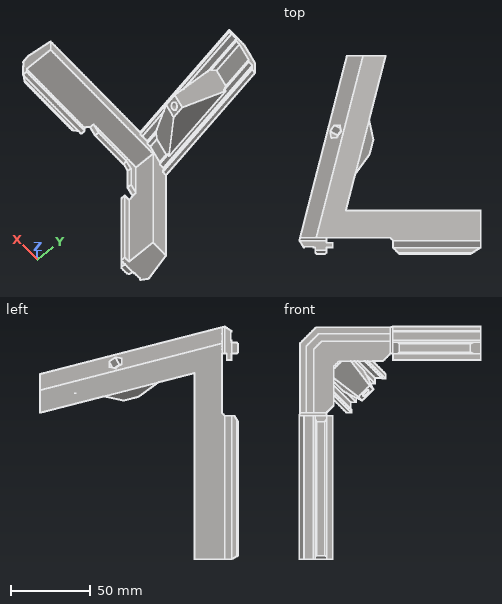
import cadquery as cq
import math


X_END = 114.15
Z_END = -146.62
Y_BACK = 115.05
RAIL_TOP_Y = -10.2

LEAN = math.radians(20)
SHEAR = math.tan(LEAN) / math.sqrt(2)

FRAME_DEPTH = 17.4
ARM_WIDTH = 16.8
OUTER_CHAMFER = 10.25

PLATE_WIDTH = 21.5
PLATE_THICKNESS = 3.0
PLATE_END_CHAMFER = PLATE_WIDTH - ARM_WIDTH
PLATE_CORNER_CHAMFER = 3.3
GROOVE_INNER = 8.8
GROOVE_OUTER = 4.1
GROOVE_DEPTH = 0.4

WING_LENGTH = 24.6
WING_THICKNESS = 2.6
LIP_THICKNESS = 3.0
LIP_LENGTH = 2.1
STEP_THICKNESS = 6.1
STEP_END = 17.9
FLOOR_SUM = 21.0

BOSS_CENTRE = 74.1
BOSS_TOP_LENGTH = 10.0
BOSS_TOP_WIDTH = 10.1
BOSS_TOP_HEIGHT = 35.75
BOSS_BASE_HEIGHT = 12.0
BOSS_DRAFT = math.radians(11.5)
BOSS_FRONT_SLOPE = math.radians(30)
BOSS_REAR_SLOPE = math.radians(45)
BORE_DIAMETER = 5.0
NUT_ACROSS_CORNERS = 9.7
NUT_POCKET_FLOOR = 14.0

X_RAIL_START = 58.7
Z_RAIL_START = 55.8
RAIL_SKIRT = 1.6
RAIL_FACE_Y = -6.0
RAIL_CHAMFER = 2.75
RAIL_GROOVE_OUTER = 2.9
RAIL_GROOVE_INNER = 8.3
RAIL_LIP_END = 20.8
RAIL_LIP_THICKNESS = 3.1
RIB_START = 9.6
RIB_CHAMFER = 1.0
X_RIB_START_RAMP = 4.1
X_RIB_END_RAMP = 6.5
Z_RIB_START_RAMP = 3.9
Z_RIB_START_FOOT_Y = -7.75
Z_RIB_END_RAMP = 2.4

LENGTH_DIRECTION = (math.sin(LEAN) / math.sqrt(2), math.cos(LEAN), -math.sin(LEAN) / math.sqrt(2))
INWARD_DIRECTION = (math.cos(LEAN) / math.sqrt(2), -math.sin(LEAN), -math.cos(LEAN) / math.sqrt(2))
LATERAL_DIRECTION = (-1, 0, -1)

MIRROR_NORMAL = cq.Vector(1, 0, 1)


def prism(across_points, depth, shear):
    """Extrude an outline of (X across, Z across) points from y = 0, leaning when shear is not zero."""
    corners = [cq.Vector(x, 0, -z) for x, z in across_points]
    outline = cq.Wire.makePolygon(corners, close=True)
    path = cq.Vector(shear * depth, depth, -shear * depth)
    return cq.Workplane(cq.Solid.extrudeLinear(outline, [], path))


def inset_chain(inset, x_length, z_length):
    """Points along a line that runs inside the chamfered outer border at the given inset."""
    corner = OUTER_CHAMFER + inset * (math.sqrt(2) - 1)
    return [(x_length, inset), (corner, inset), (inset, corner), (inset, z_length)]


def make_frame():
    lean = FRAME_DEPTH * SHEAR
    x_reach = X_END + lean
    z_reach = -Z_END + lean
    outer_block = prism(inset_chain(0, x_reach, z_reach) + [(x_reach, z_reach)], FRAME_DEPTH, SHEAR)
    angle = [
        (0, 0),
        (X_END, 0),
        (X_END, ARM_WIDTH),
        (ARM_WIDTH, ARM_WIDTH),
        (ARM_WIDTH, -Z_END),
        (0, -Z_END),
    ]
    return outer_block.intersect(prism(angle, FRAME_DEPTH, 0))


def make_plate():
    x_end = X_RAIL_START - RAIL_SKIRT
    z_end = Z_RAIL_START - RAIL_SKIRT
    inner = [
        (ARM_WIDTH, z_end),
        (PLATE_WIDTH, z_end - PLATE_END_CHAMFER),
        (PLATE_WIDTH, PLATE_WIDTH),
        (x_end - PLATE_END_CHAMFER, PLATE_WIDTH),
        (x_end, ARM_WIDTH),
    ]
    plate = prism(inset_chain(GROOVE_OUTER, x_end, z_end) + inner, PLATE_THICKNESS, 0)
    overlap = PLATE_THICKNESS * SHEAR
    root = PLATE_WIDTH - overlap
    tip = PLATE_WIDTH + PLATE_CORNER_CHAMFER + overlap
    corner_web = prism([(root, root), (tip, root), (root, tip)], PLATE_THICKNESS, SHEAR)
    return plate.union(corner_web)


def make_plate_groove():
    x_end = X_RAIL_START - RAIL_SKIRT
    z_end = Z_RAIL_START - RAIL_SKIRT
    outer = inset_chain(GROOVE_OUTER, x_end, z_end)
    inner = inset_chain(GROOVE_INNER, x_end, z_end)
    return prism(outer + inner[::-1], GROOVE_DEPTH, 0)


def make_leaning_arm():
    half = [
        (OUTER_CHAMFER, 0),
        (WING_LENGTH, 0),
        (WING_LENGTH, LIP_THICKNESS),
        (WING_LENGTH - LIP_LENGTH, LIP_THICKNESS),
        (WING_LENGTH - LIP_LENGTH, WING_THICKNESS),
        (STEP_END, WING_THICKNESS),
        (STEP_END, STEP_THICKNESS),
        (FLOOR_SUM - STEP_THICKNESS, STEP_THICKNESS),
    ]
    mirrored = [(z, x) for x, z in reversed(half)]
    return prism(half + mirrored, Y_BACK, SHEAR)


def make_boss():
    height = BOSS_TOP_HEIGHT - BOSS_BASE_HEIGHT
    half_top = BOSS_TOP_LENGTH / 2
    front_run = height / math.tan(BOSS_FRONT_SLOPE)
    rear_run = height / math.tan(BOSS_REAR_SLOPE)
    half_width = BOSS_TOP_WIDTH / 2
    half_base = half_width + height * math.tan(BOSS_DRAFT)

    side_plane = cq.Plane((0, 0, 0), LENGTH_DIRECTION, LATERAL_DIRECTION)
    side = (
        cq.Workplane(side_plane)
        .polyline([
            (BOSS_CENTRE - half_top - front_run, BOSS_BASE_HEIGHT),
            (BOSS_CENTRE - half_top, BOSS_TOP_HEIGHT),
            (BOSS_CENTRE + half_top, BOSS_TOP_HEIGHT),
            (BOSS_CENTRE + half_top + rear_run, BOSS_BASE_HEIGHT),
        ])
        .close()
        .extrude(half_base, both=True)
    )
    section_plane = cq.Plane((0, 0, 0), LATERAL_DIRECTION, LENGTH_DIRECTION)
    inward_sign = math.copysign(1, section_plane.yDir.dot(cq.Vector(*INWARD_DIRECTION)))
    section = (
        cq.Workplane(section_plane)
        .polyline([
            (-half_base, inward_sign * BOSS_BASE_HEIGHT),
            (half_base, inward_sign * BOSS_BASE_HEIGHT),
            (half_width, inward_sign * BOSS_TOP_HEIGHT),
            (-half_width, inward_sign * BOSS_TOP_HEIGHT),
        ])
        .close()
        .extrude(Y_BACK)
    )
    return side.intersect(section)


def make_screw_hole():
    start = cq.Vector(*LENGTH_DIRECTION) * BOSS_CENTRE
    across_arm = cq.Workplane(cq.Plane(start, LATERAL_DIRECTION, INWARD_DIRECTION))
    bore = across_arm.circle(BORE_DIAMETER / 2).extrude(BOSS_TOP_HEIGHT)
    pocket = across_arm.polygon(6, NUT_ACROSS_CORNERS).extrude(NUT_POCKET_FLOOR)
    return bore.union(pocket)


def make_rail(start, end, start_ramp, start_foot_y, end_ramp):
    """A rail along +X: its cross-section limited by its outline seen from above."""
    skirt_top = SHEAR * RAIL_SKIRT
    groove_y = RAIL_FACE_Y + GROOVE_DEPTH
    section = (
        cq.Workplane("YZ", origin=(start - RAIL_SKIRT, 0, 0))
        .polyline([
            (0, 0),
            (-RAIL_SKIRT, skirt_top),
            (RAIL_FACE_Y, skirt_top - RAIL_CHAMFER),
            (RAIL_FACE_Y, -RAIL_GROOVE_OUTER),
            (groove_y, -RAIL_GROOVE_OUTER),
            (groove_y, -RAIL_GROOVE_INNER),
            (RAIL_FACE_Y, -RAIL_GROOVE_INNER),
            (RAIL_FACE_Y, -RIB_START),
            (RAIL_TOP_Y + RIB_CHAMFER, -RIB_START),
            (RAIL_TOP_Y, -RIB_START - RIB_CHAMFER),
            (RAIL_TOP_Y, -ARM_WIDTH + RIB_CHAMFER),
            (RAIL_TOP_Y + RIB_CHAMFER, -ARM_WIDTH),
            (RAIL_FACE_Y, -ARM_WIDTH),
            (RAIL_FACE_Y, -RAIL_LIP_END),
            (RAIL_FACE_Y + RAIL_LIP_THICKNESS, -RAIL_LIP_END),
            (RAIL_FACE_Y + RAIL_LIP_THICKNESS, -ARM_WIDTH),
            (0, -ARM_WIDTH),
        ])
        .close()
        .extrude(end - start + RAIL_SKIRT)
    )
    outline = (
        cq.Workplane("XY", origin=(0, 0, -PLATE_WIDTH))
        .polyline([
            (start - RAIL_SKIRT, 0),
            (start, -RAIL_SKIRT),
            (start, start_foot_y),
            (start + start_ramp, RAIL_TOP_Y),
            (end - end_ramp, RAIL_TOP_Y),
            (end, RAIL_FACE_Y),
            (end, 0),
        ])
        .close()
        .extrude(PLATE_WIDTH + RAIL_CHAMFER)
    )
    return section.intersect(outline)


x_rail = make_rail(X_RAIL_START, X_END, X_RIB_START_RAMP, RAIL_FACE_Y, X_RIB_END_RAMP)
z_rail = make_rail(Z_RAIL_START, -Z_END, Z_RIB_START_RAMP, Z_RIB_START_FOOT_Y, Z_RIB_END_RAMP)

body = make_frame().union(make_plate()).union(make_leaning_arm()).cut(make_plate_groove())
body = body.union(make_boss()).cut(make_screw_hole())
result = body.union(x_rail).union(z_rail.mirror(MIRROR_NORMAL))